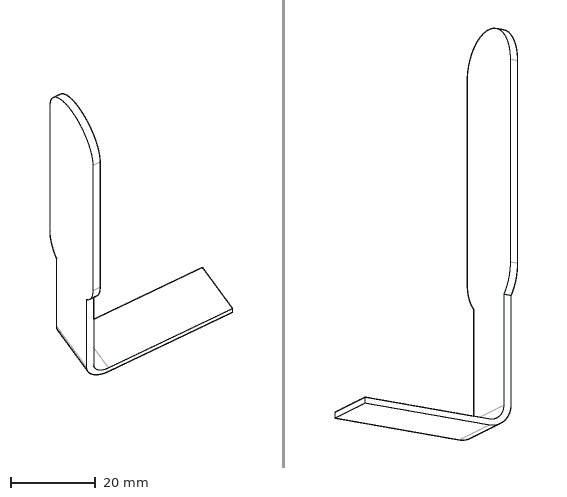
import cadquery as cq

height = 100.0
foot_length = 40.0
paddle_width = 20.0
strip_width = 14.0
upright_thickness = 2.0
foot_thickness = 1.5
bend_outer_radius = 6.0
bend_inner_radius = 4.0
paddle_length = 70.0

paddle_radius = paddle_width / 2
paddle_center_z = height - paddle_length / 2


def bent_profile():
    """L-shaped side profile of the bent strip, extruded across the paddle width."""
    outline = (
        cq.Workplane("YZ")
        .lineTo(foot_length, 0)
        .lineTo(foot_length, foot_thickness)
        .lineTo(upright_thickness, foot_thickness)
        .lineTo(upright_thickness, height)
        .lineTo(0, height)
        .close()
        .extrude(paddle_width / 2, both=True)
    )
    outer_corner = cq.selectors.NearestToPointSelector((0, 0, 0))
    inner_corner = cq.selectors.NearestToPointSelector((0, upright_thickness, foot_thickness))
    return (
        outline
        .edges("|X").edges(outer_corner).fillet(bend_outer_radius)
        .edges("|X").edges(inner_corner).fillet(bend_inner_radius)
    )


def front_outline():
    """Round-ended paddle on a narrower strip, extruded through the whole depth."""
    paddle = (
        cq.Workplane("XZ")
        .center(0, paddle_center_z)
        .slot2D(paddle_length, 2 * paddle_radius, 90)
        .extrude(-foot_length)
    )
    strip = (
        cq.Workplane("XY")
        .box(strip_width, foot_length, paddle_center_z, centered=(True, False, False))
    )
    return paddle.union(strip)


result = bent_profile().intersect(front_outline())